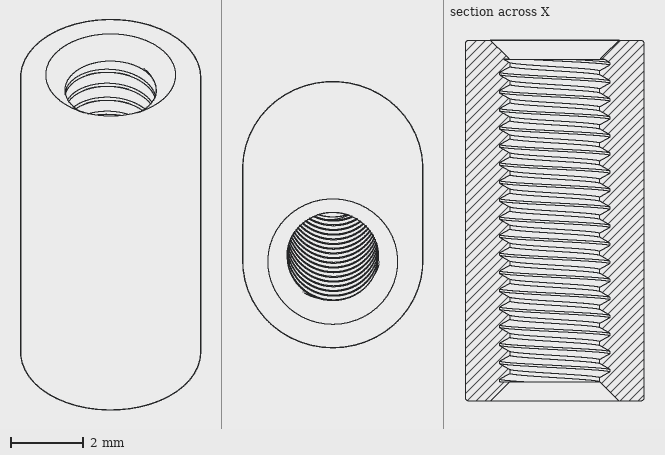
import cadquery as cq
import math

length = 10
outer_diameter = 5
edge_radius = 0.1
minor_diameter = 2.53
major_diameter = 3.09
pitch = 0.5
flank_half_angle = 30
countersink_diameter = 3.6
root_flat = pitch / 8
thread_start_angle = 210
profile_overlap = 0.02

minor_radius = minor_diameter / 2
major_radius = major_diameter / 2
countersink_radius = countersink_diameter / 2
countersink_depth = countersink_radius - minor_radius


def make_sleeve():
    """Round bar with rounded outer edges, a bore and a countersink at each end."""
    bar = cq.Workplane("XY").circle(outer_diameter / 2).extrude(length)
    bar = bar.edges("%CIRCLE").fillet(edge_radius)
    bore = (
        cq.Workplane("XZ")
        .lineTo(countersink_radius, 0)
        .lineTo(minor_radius, countersink_depth)
        .lineTo(minor_radius, length - countersink_depth)
        .lineTo(countersink_radius, length)
        .lineTo(0, length)
        .close()
        .revolve(360, (0, 0, 0), (0, 1, 0))
    )
    return bar.cut(bore)


def make_thread_turn():
    """One turn of a right-hand helical V groove with a flat root, starting at height zero."""
    inner_radius = minor_radius - profile_overlap
    root_half = root_flat / 2
    flank_rise = (major_radius - inner_radius) * math.tan(math.radians(flank_half_angle))
    mouth_half = root_half + flank_rise
    profile = (
        (inner_radius, -mouth_half),
        (major_radius, -root_half),
        (major_radius, root_half),
        (inner_radius, mouth_half),
    )
    helices = [
        cq.Wire.makeHelix(pitch, pitch, radius, center=cq.Vector(0, 0, height))
        for radius, height in profile
    ]
    sides = [
        cq.Face.makeRuledSurface(helices[i - 1], helices[i])
        for i in range(len(helices))
    ]
    caps = []
    for end_height in (0, pitch):
        corners = [cq.Vector(radius, 0, height + end_height) for radius, height in profile]
        caps.append(cq.Face.makeFromWires(cq.Wire.makePolygon(corners, close=True)))
    groove = cq.Solid.makeSolid(cq.Shell.makeShell(sides + caps))
    return cq.Workplane(groove).rotate((0, 0, 0), (0, 0, 1), thread_start_angle)


def make_thread_zone():
    """Cylinder between the countersinks that limits how far the thread runs."""
    zone = cq.Workplane("XY").workplane(offset=countersink_depth)
    return zone.circle(outer_diameter / 2).extrude(length - 2 * countersink_depth)


sleeve = make_sleeve()
thread_turn = make_thread_turn()
thread_zone = make_thread_zone()
for turn in range(round(length / pitch)):
    turn_cutter = thread_turn.translate((0, 0, turn * pitch)).intersect(thread_zone)
    sleeve = sleeve.cut(turn_cutter)
result = cq.Workplane(sleeve.solids().val())